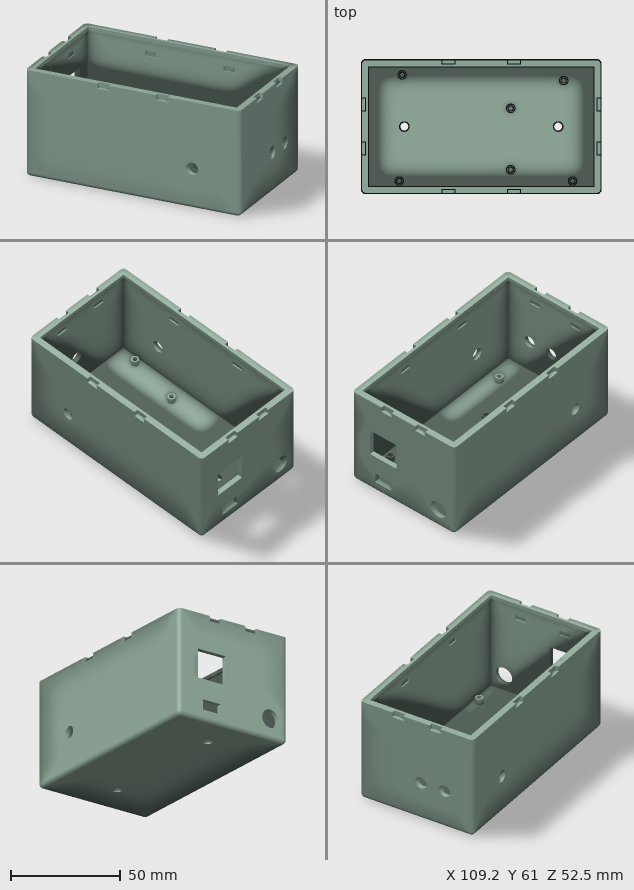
import cadquery as cq


LENGTH = 109.2
WIDTH = 61.0
HEIGHT = 52.5
EDGE_RADIUS = 2.0
WALL = 2.5
FLOOR = 2.5

RIM_WIDTH = 3.3
RIM_HEIGHT = 2.0

NOTCH_LENGTH = 6.0
NOTCH_HEIGHT = 2.5
NOTCH_DEPTH = 2.0
NOTCH_X = 15.0
NOTCH_Y = 10.0
RECESS_LENGTH = 5.7
RECESS_HEIGHT = 2.5
RECESS_DEPTH = 0.7
RECESS_BOTTOM = 43.2
RECESS_X = 20.0
RECESS_Y = 12.0

CABLE_HOLE_DIAMETER = 6.0
LONG_WALL_HOLE_X = 30.2
CABLE_HOLE_Z = 19.5
END_WALL_HOLE_YS = (15.3, 2.4)

WINDOW_SIZE = (15.7, 14.3)
WINDOW_CENTRE = (12.0, 27.6)
SLOT_SIZE = (10.0, 5.0)
SLOT_CENTRE = (12.0, 7.9)
JACK_DIAMETER = 9.0
JACK_CENTRE = (-21.0, 10.2)

SCREW_HOLE_DIAMETER = 4.1
SCREW_HOLE_X = 35.0
POST_DIAMETER = 3.8
POST_BORE = 2.4
POST_HEIGHT = 3.0
POST_CENTRES = [
    (-36.0, 23.6),
    (37.6, 21.0),
    (13.4, 8.3),
    (13.4, -19.7),
    (-37.3, -24.8),
    (41.6, -24.8),
]


def block(size, centre):
    """Box given by its (x, y, z) size and the centre of its lower face."""
    return cq.Workplane("XY").box(*size, centered=(True, True, False)).translate(centre)


def rod_along_x(diameter, start_x, length, y, z):
    return cq.Workplane("YZ", origin=(start_x, y, z)).circle(diameter / 2).extrude(length)


def make_shell():
    outer = block((LENGTH, WIDTH, HEIGHT), (0, 0, 0))
    outer = outer.edges("|Z").fillet(EDGE_RADIUS).faces("<Z").edges().fillet(EDGE_RADIUS)
    rim_bottom = HEIGHT - RIM_HEIGHT
    cavity = block((LENGTH - 2 * WALL, WIDTH - 2 * WALL, rim_bottom - FLOOR), (0, 0, FLOOR))
    mouth = block((LENGTH - 2 * RIM_WIDTH, WIDTH - 2 * RIM_WIDTH, HEIGHT - FLOOR), (0, 0, FLOOR))
    return outer.cut(cavity).cut(mouth)


def cut_pockets(body, pocket_size, wall_offsets, spacing, bottom):
    """Cut two pockets per wall; pocket_size is (length along wall, depth into wall, height)."""
    length, depth, height = pocket_size
    wall_x, wall_y = wall_offsets
    pocket_x, pocket_y = spacing
    for side in (-1, 1):
        for place in (-1, 1):
            long_wall_pocket = block((length, depth, height), (place * pocket_x, side * wall_y, bottom))
            end_wall_pocket = block((depth, length, height), (side * wall_x, place * pocket_y, bottom))
            body = body.cut(long_wall_pocket).cut(end_wall_pocket)
    return body


def cut_rim_notches(body):
    size = (NOTCH_LENGTH, NOTCH_DEPTH, NOTCH_HEIGHT)
    inset = NOTCH_DEPTH / 2
    offsets = (LENGTH / 2 - inset, WIDTH / 2 - inset)
    return cut_pockets(body, size, offsets, (NOTCH_X, NOTCH_Y), HEIGHT - NOTCH_HEIGHT)


def cut_snap_recesses(body):
    size = (RECESS_LENGTH, RECESS_DEPTH, RECESS_HEIGHT)
    inset = WALL - RECESS_DEPTH / 2
    offsets = (LENGTH / 2 - inset, WIDTH / 2 - inset)
    return cut_pockets(body, size, offsets, (RECESS_X, RECESS_Y), RECESS_BOTTOM)


def cut_cable_holes(body):
    long_wall_holes = (
        cq.Workplane("XZ", origin=(LONG_WALL_HOLE_X, 0, CABLE_HOLE_Z))
        .circle(CABLE_HOLE_DIAMETER / 2)
        .extrude(WIDTH / 2, both=True)
    )
    body = body.cut(long_wall_holes)
    for y in END_WALL_HOLE_YS:
        body = body.cut(rod_along_x(CABLE_HOLE_DIAMETER, LENGTH / 2 - WALL, WALL, y, CABLE_HOLE_Z))
    return body


def cut_connector_openings(body):
    for size, centre in ((WINDOW_SIZE, WINDOW_CENTRE), (SLOT_SIZE, SLOT_CENTRE)):
        opening = cq.Workplane("YZ", origin=(-LENGTH / 2, 0, 0)).center(*centre).rect(*size).extrude(WALL)
        body = body.cut(opening)
    return body.cut(rod_along_x(JACK_DIAMETER, -LENGTH / 2, WALL, *JACK_CENTRE))


def finish_floor(body):
    screw_holes = (
        cq.Workplane("XY")
        .pushPoints([(-SCREW_HOLE_X, 0), (SCREW_HOLE_X, 0)])
        .circle(SCREW_HOLE_DIAMETER / 2)
        .extrude(FLOOR)
    )
    floor_top = cq.Workplane("XY", origin=(0, 0, FLOOR)).pushPoints(POST_CENTRES)
    posts = floor_top.circle(POST_DIAMETER / 2).circle(POST_BORE / 2).extrude(POST_HEIGHT)
    return body.cut(screw_holes).union(posts)


body = make_shell()
body = cut_rim_notches(body)
body = cut_snap_recesses(body)
body = cut_cable_holes(body)
body = cut_connector_openings(body)
result = finish_floor(body)